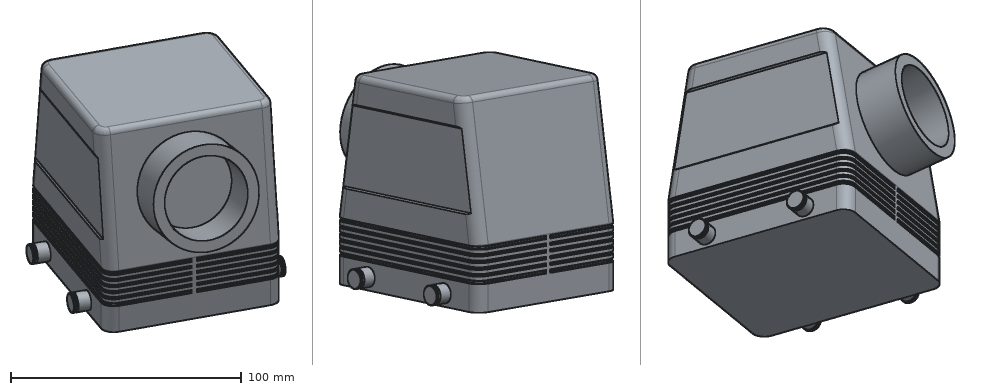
import cadquery as cq
import math

total_length = 111.8
hood_length = 93.3
hood_width = 82.3
hood_height = 94.0
pin_span = 98.5

taper_start_z = 30.2
top_length = 72.2
corner_radius = 5.9
top_edge_radius = 3.0

recess_bottom_z = 42.9
recess_top_z = 80.9
recess_depth = 0.8

band_bottom_z = 12.6
band_top_z = 29.5
band_depth = 0.5
rib_count = 5
rib_span = 11.8
rib_width = 1.7
spine_width = 2.6

pin_diameter = 8.9
pin_neck_diameter = 5.6
pin_spacing = 49.4
pin_z = 6.0
pin_stub_length = 5.9
pin_neck_length = 0.8
pin_head_chamfer = 0.3
pin_root = 2.2

collar_diameter = 49.0
bore_diameter = 38.6
collar_end_z = 65.7
collar_root = 2.2

half_length = hood_length / 2
half_width = hood_width / 2
slope = (half_length - top_length / 2) / (hood_height - taper_start_z)
slope_angle = math.atan(slope)


def make_shell():
    """Block with straight base, ends sloping inward above it, and rounded edges."""
    side_outline = [
        (-half_length, 0),
        (half_length, 0),
        (half_length, taper_start_z),
        (top_length / 2, hood_height),
        (-top_length / 2, hood_height),
        (-half_length, taper_start_z),
    ]
    block = cq.Workplane("XZ").polyline(side_outline).close().extrude(half_width, both=True)
    upright_edges = block.faces("<Y or >Y").edges("not #Z")
    block = upright_edges.fillet(corner_radius)
    return block.faces(">Z").edges().fillet(top_edge_radius)


def make_recess_cutter():
    """Cutter for both side recesses, with 45 degree upper and lower edges."""
    floor_y = half_width - recess_depth
    outer_y = half_width + recess_depth
    profile = [
        (floor_y, recess_top_z - recess_depth),
        (outer_y, recess_top_z + recess_depth),
        (outer_y, recess_bottom_z - recess_depth),
        (floor_y, recess_bottom_z + recess_depth),
    ]
    cutter = cq.Workplane("YZ").polyline(profile).close().extrude(half_length, both=True)
    return cutter.union(cutter.mirror("XZ"))


def base_outline(z, inset=0.0):
    """Rounded rectangle of the straight base at height z, shrunk inward all round."""
    outline = (
        cq.Sketch()
        .rect(hood_length - 2 * inset, hood_width - 2 * inset)
        .vertices()
        .fillet(corner_radius - inset)
    )
    return cq.Workplane("XY", origin=(0, 0, z)).placeSketch(outline)


def make_groove_cutter(bottom_z, top_z):
    """Ring that cuts one groove with 45 degree sides around the base."""
    height = top_z - bottom_z
    ring = base_outline(bottom_z).extrude(height)
    ring = ring.cut(base_outline(bottom_z, band_depth).extrude(height))
    ring = ring.cut(base_outline(bottom_z).extrude(band_depth, taper=45))
    return ring.cut(base_outline(top_z).extrude(-band_depth, taper=45))


def cut_grooves(body):
    """Cut the grooves that leave the ribs, sparing a spine at each narrow end."""
    rib_pitch = rib_span / (rib_count - 1)
    first_rib_z = (band_bottom_z + band_top_z - rib_span) / 2
    rib_centres = [first_rib_z + i * rib_pitch for i in range(rib_count)]
    groove_bottoms = [band_bottom_z] + [z + rib_width / 2 for z in rib_centres]
    groove_tops = [z - rib_width / 2 for z in rib_centres] + [band_top_z]
    spine = cq.Workplane("XY").rect(hood_length, spine_width).extrude(band_top_z)
    for bottom_z, top_z in zip(groove_bottoms, groove_tops):
        body = body.cut(make_groove_cutter(bottom_z, top_z).cut(spine))
    return body


def make_pin(x, side):
    """Locking pin with a necked head, on the -Y (side=-1) or +Y (side=1) wall."""
    stub_end = pin_root + pin_stub_length
    neck_end = stub_end + pin_neck_length
    head_end = pin_root + (pin_span - hood_width) / 2
    wall = cq.Plane(
        origin=(x, side * (half_width - pin_root), pin_z), xDir=(1, 0, 0), normal=(0, side, 0)
    )
    stub = cq.Workplane(wall).circle(pin_diameter / 2).extrude(stub_end)
    neck = cq.Workplane(wall).circle(pin_neck_diameter / 2).extrude(neck_end)
    head = (
        cq.Workplane(wall)
        .workplane(offset=neck_end)
        .circle(pin_diameter / 2)
        .extrude(head_end - neck_end)
        .edges()
        .chamfer(pin_head_chamfer)
    )
    return stub.union(neck).union(head)


def add_collar(body):
    """Add the cable collar and bore it down to the sloping end wall."""
    collar_radius = collar_diameter / 2
    end_x = total_length - half_length - collar_radius * math.sin(slope_angle)
    wall_x = half_length - slope * (collar_end_z - taper_start_z)
    collar_length = (end_x - wall_x) * math.cos(slope_angle)
    inward = (-math.cos(slope_angle), 0, -math.sin(slope_angle))
    open_end = cq.Plane(origin=(end_x, 0, collar_end_z), xDir=(0, 1, 0), normal=inward)
    collar = cq.Workplane(open_end).circle(collar_radius).extrude(collar_length + collar_root)
    bore = cq.Workplane(open_end).circle(bore_diameter / 2).extrude(collar_length)
    return body.union(collar).cut(bore)


hood = make_shell().cut(make_recess_cutter())
hood = cut_grooves(hood)
for pin_x in (-pin_spacing / 2, pin_spacing / 2):
    for pin_side in (-1, 1):
        hood = hood.union(make_pin(pin_x, pin_side))
result = add_collar(hood)